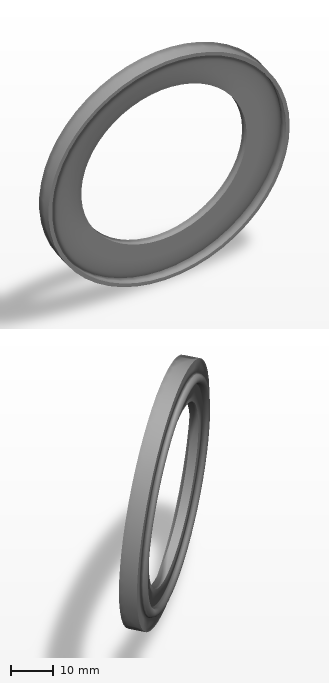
import cadquery as cq
import math

total_thickness = 5.8
outer_radius = 33.0
bore_radius = 22.6

bead_center_radius = 28.25
crest_radius = 1.2
root_fillet_radius = 0.2

bore_edge_rise = 0.1
web_thickness = 2.0
rim_wall = 1.0

bead_height = crest_radius + root_fillet_radius
rim_length = total_thickness - bead_height
recess_radius = outer_radius - rim_wall


def ring_profile():
    """Closed half section of the ring in XY: x along the axis, y as the radius."""
    crest_inner = bead_center_radius - crest_radius
    crest_outer = bead_center_radius + crest_radius
    root_inner = crest_inner - root_fillet_radius
    root_outer = crest_outer + root_fillet_radius
    fillet_inset = root_fillet_radius * (1 - math.sqrt(0.5))

    return (
        cq.Workplane("XY")
        .moveTo(-bore_edge_rise, bore_radius)
        .lineTo(0, root_inner)
        .threePointArc((-fillet_inset, crest_inner - fillet_inset), (-root_fillet_radius, crest_inner))
        .threePointArc((-bead_height, bead_center_radius), (-root_fillet_radius, crest_outer))
        .threePointArc((-fillet_inset, crest_outer + fillet_inset), (0, root_outer))
        .lineTo(0, outer_radius)
        .lineTo(rim_length, outer_radius)
        .lineTo(rim_length, recess_radius)
        .lineTo(web_thickness, recess_radius)
        .lineTo(web_thickness, bore_radius)
        .close()
    )


result = ring_profile().revolve(360, (0, 0, 0), (1, 0, 0))